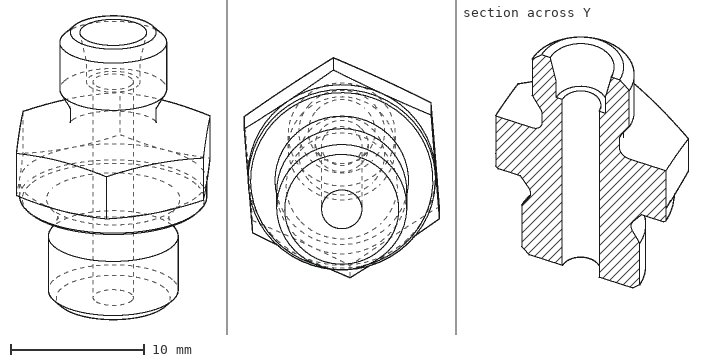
import cadquery as cq
import math

total_height = 21.5
lower_stud_length = 8.0
collar_height = 1.5
hex_height = 4.0
hex_bottom = lower_stud_length + collar_height
hex_top = hex_bottom + hex_height

across_flats = 14.0
collar_radius = across_flats / 2
collar_chamfer = 0.2
hex_chamfer_angle = math.radians(15)

undercut_angle = math.radians(30)

lower_radius = 9.72 / 2
lower_chamfer = 0.6
lower_thread_top = 4.99
undercut_radius = 4.15
undercut_round = 1.0
mouth_angle = math.radians(35)

upper_radius = 8.0 / 2
upper_chamfer = 0.8
upper_thread_bottom = 16.88
neck_radius = 6.4 / 2
neck_root_fillet = 0.8
neck_round = 0.85

bore_radius = 3.0 / 2
socket_radius = 4.0 / 2
socket_depth = 4.0
seat_top_radius = 4.99 / 2
seat_depth = 2.35


def revolve_profile(profile):
    """Revolve a closed (radius, height) profile around the Z axis."""
    return profile.close().revolve(360, (0, 0, 0), (0, 1, 0))


def round_center_rise(neck, rounding, cone_radius, slope_angle):
    """Return the height from a cone's outer rim to the center of the round that joins it to a neck."""
    radial_gap = cone_radius - (neck + rounding)
    return radial_gap / math.tan(slope_angle) + rounding / math.sin(slope_angle)


def round_point(neck, rounding, center_height, angle):
    """Return the point of a concave round at an angle above its narrowest place."""
    return (
        neck + rounding * (1 - math.cos(angle)),
        center_height + rounding * math.sin(angle),
    )


def make_hexagon():
    corner_radius = collar_radius / math.cos(math.pi / 6)
    prism = (
        cq.Workplane("XY", origin=(0, 0, hex_bottom))
        .polygon(6, 2 * corner_radius)
        .extrude(hex_height)
        .rotate((0, 0, 0), (0, 0, 1), 30)
    )
    drop = (corner_radius - collar_radius) * math.tan(hex_chamfer_angle)
    corner_trim = revolve_profile(
        cq.Workplane("XZ")
        .moveTo(0, hex_bottom)
        .lineTo(collar_radius, hex_bottom)
        .lineTo(corner_radius, hex_bottom + drop)
        .lineTo(corner_radius, hex_top - drop)
        .lineTo(collar_radius, hex_top)
        .lineTo(0, hex_top)
    )
    return prism.intersect(corner_trim)


def make_lower_stud():
    center_height = lower_thread_top + round_center_rise(
        undercut_radius, undercut_round, lower_radius, undercut_angle
    )
    round_start, round_middle, round_end = [
        round_point(undercut_radius, undercut_round, center_height, angle)
        for angle in (-undercut_angle, 0, mouth_angle)
    ]
    mouth_radius = round_end[0] + (lower_stud_length - round_end[1]) * math.tan(mouth_angle)
    return revolve_profile(
        cq.Workplane("XZ")
        .lineTo(lower_radius - lower_chamfer, 0)
        .lineTo(lower_radius, lower_chamfer)
        .lineTo(lower_radius, lower_thread_top)
        .lineTo(*round_start)
        .threePointArc(round_middle, round_end)
        .lineTo(mouth_radius, lower_stud_length)
        .lineTo(collar_radius - collar_chamfer, lower_stud_length)
        .lineTo(collar_radius, lower_stud_length + collar_chamfer)
        .lineTo(collar_radius, hex_bottom)
        .lineTo(0, hex_bottom)
    )


def make_upper_stud():
    center_height = upper_thread_bottom - round_center_rise(
        neck_radius, neck_round, upper_radius, undercut_angle
    )
    round_start, round_middle, round_end = [
        round_point(neck_radius, neck_round, center_height, angle)
        for angle in (0, undercut_angle / 2, undercut_angle)
    ]
    fillet_inset = neck_root_fillet * (1 - math.sqrt(0.5))
    return revolve_profile(
        cq.Workplane("XZ")
        .moveTo(0, hex_top)
        .lineTo(neck_radius + neck_root_fillet, hex_top)
        .threePointArc(
            (neck_radius + fillet_inset, hex_top + fillet_inset),
            (neck_radius, hex_top + neck_root_fillet),
        )
        .lineTo(*round_start)
        .threePointArc(round_middle, round_end)
        .lineTo(upper_radius, upper_thread_bottom)
        .lineTo(upper_radius, total_height - upper_chamfer)
        .lineTo(upper_radius - upper_chamfer, total_height)
        .lineTo(0, total_height)
    )


def make_bore():
    socket_bottom = total_height - socket_depth
    seat_bottom = total_height - seat_depth
    return revolve_profile(
        cq.Workplane("XZ")
        .lineTo(bore_radius, 0)
        .lineTo(bore_radius, socket_bottom)
        .lineTo(socket_radius, socket_bottom)
        .lineTo(socket_radius, seat_bottom)
        .lineTo(seat_top_radius, total_height)
        .lineTo(0, total_height)
    )


result = make_lower_stud().union(make_hexagon()).union(make_upper_stud()).cut(make_bore())